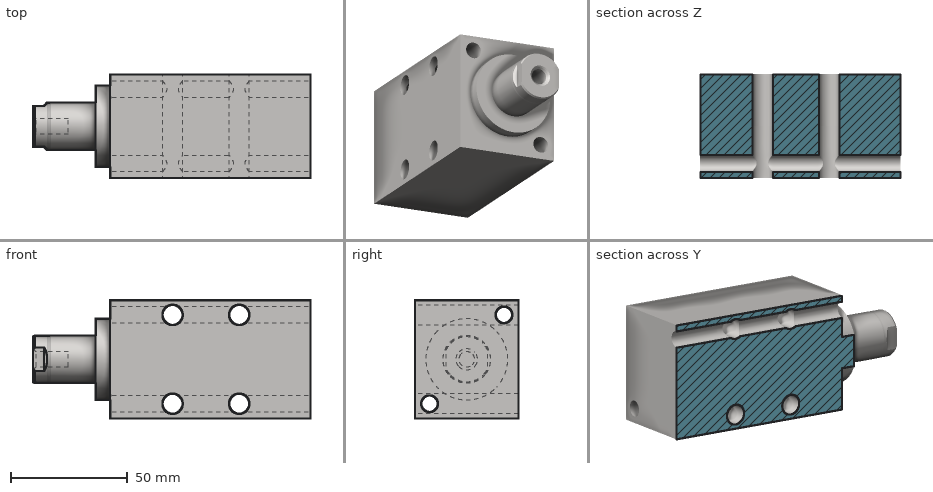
import cadquery as cq

overall_length = 118.9
block_width = 44.5
block_height = 50.8
block_start = 33.0
block_length = overall_length - block_start

flange_diameter = 35.0
flange_thickness = 6.2
rod_diameter = 20.5
nose_diameter = 20.3
nose_length = 6.5
nose_taper_end = 7.4
tip_chamfer_length = 0.8
tip_chamfer_depth = 0.5

flat_spacing = 17.6
flat_length = 4.8

bore_diameter = 6.7
bore_mouth_diameter = 9.2
bore_depth = 15.0
outer_cone_end_diameter = 8.0
outer_cone_depth = 0.5
inner_cone_depth = 1.3

cross_hole_diameter = 8.5
cross_hole_positions = (59.8, 88.3)
hole_offset_z = 19.0
long_hole_diameter = 7.0
long_hole_offset_y = 15.9


def make_block():
    """Rectangular body behind the flange."""
    return cq.Workplane("XY").box(
        block_length, block_width, block_height, centered=(False, True, True)
    ).translate((block_start, 0, 0))


def make_rod_and_flange():
    """Turned profile revolved about the X axis."""
    rod_radius = rod_diameter / 2
    nose_radius = nose_diameter / 2
    flange_radius = flange_diameter / 2
    flange_start = block_start - flange_thickness
    return (
        cq.Workplane("XY")
        .moveTo(0, 0)
        .lineTo(0, nose_radius - tip_chamfer_depth)
        .lineTo(tip_chamfer_length, nose_radius)
        .lineTo(nose_length, nose_radius)
        .lineTo(nose_taper_end, rod_radius)
        .lineTo(flange_start, rod_radius)
        .lineTo(flange_start, flange_radius)
        .lineTo(block_start, flange_radius)
        .lineTo(block_start, 0)
        .close()
        .revolve(360, (0, 0, 0), (1, 0, 0))
    )


def flat_cutter(side):
    """Material removed for the wrench flat on the side given by the sign."""
    inner = flat_spacing / 2
    outer = rod_diameter
    ramp_end = flat_length + outer - inner
    return (
        cq.Workplane("XY")
        .polyline([
            (0, side * inner),
            (flat_length, side * inner),
            (ramp_end, side * outer),
            (0, side * outer),
        ])
        .close()
        .extrude(rod_diameter, both=True)
    )


def bore_cutter():
    """Blind hole with a two-stage conical mouth."""
    bore_radius = bore_diameter / 2
    return (
        cq.Workplane("XY")
        .polyline([
            (0, 0),
            (0, bore_mouth_diameter / 2),
            (outer_cone_depth, outer_cone_end_diameter / 2),
            (inner_cone_depth, bore_radius),
            (bore_depth, bore_radius),
            (bore_depth, 0),
        ])
        .close()
        .revolve(360, (0, 0, 0), (1, 0, 0))
    )


def cross_hole_cutters():
    """Four holes through the block along Y."""
    centers = [(x, side * hole_offset_z) for x in cross_hole_positions for side in (-1, 1)]
    return (
        cq.Workplane("XZ")
        .pushPoints(centers)
        .circle(cross_hole_diameter / 2)
        .extrude(block_width, both=True)
    )


def long_hole_cutters():
    """Two diagonally opposite holes through the full block length."""
    centers = [(side * long_hole_offset_y, side * hole_offset_z) for side in (-1, 1)]
    return (
        cq.Workplane("YZ", origin=(block_start, 0, 0))
        .pushPoints(centers)
        .circle(long_hole_diameter / 2)
        .extrude(block_length)
    )


result = make_block().union(make_rod_and_flange())
for flat_side in (-1, 1):
    result = result.cut(flat_cutter(flat_side))
result = result.cut(bore_cutter())
result = result.cut(cross_hole_cutters())
result = result.cut(long_hole_cutters())